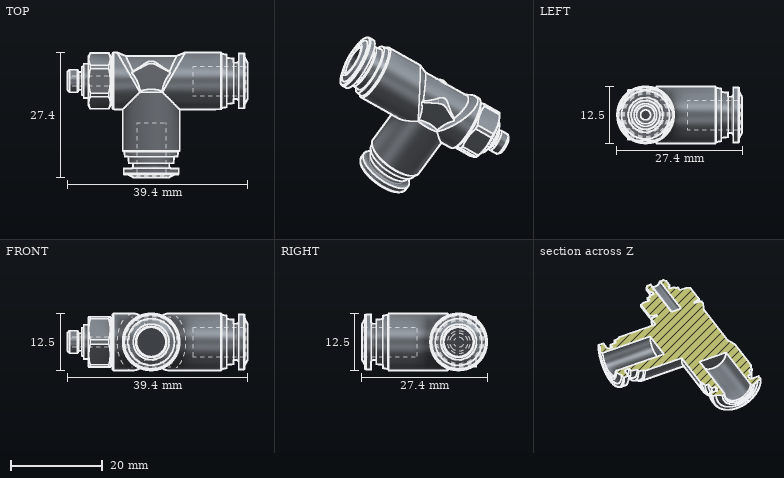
import cadquery as cq
import math


BODY_R = 6.25
PORT_REACH = 21.1
STUD_REACH = 18.3
BODY_REACH = 15.2

THREAD_R = 2.48
THREAD_LENGTH = 2.5
TIP_CHAMFER = 0.5
THREAD_NECK_R = 1.95
THREAD_NECK_LENGTH = 0.6
THREAD_RUNOUT = 0.3
SEAL_R = 3.15
SEAL_LENGTH = 0.45
SEAL_FILLET = 0.3
COLLAR_R = 3.77
COLLAR_LENGTH = 1.0
HEX_FLATS = 11.0
HEX_CORNER_R = 6.1
HEX_LENGTH = 4.95
HEX_FACE_R = 5.25
HEX_CHAMFER_LENGTH = 0.45
GAP_R = 4.65
GAP_LENGTH = 0.3
BODY_CHAMFER = 0.3
STUD_BORE_R = 1.1
STUD_BORE_DEPTH = 10.0

BODY_END_BEVEL = 0.25
RING_START_R = 5.95
RING_END_R = 5.75
RING_LENGTH = 1.35
SLEEVE_R = 5.05
SLEEVE_END_R = 4.9
SLEEVE_LENGTH = 1.45
PORT_NECK_R = 4.0
FLANGE_R = 6.03
FLANGE_LENGTH = 1.35
FLANGE_BEVEL_LENGTH = 0.25
FLANGE_BEVEL_DEPTH = 0.12
FLANGE_FILLET = 0.4
NOSE_LENGTH = 0.65
NOSE_BASE_R = 5.1
NOSE_R = 3.9
TUBE_MOUTH_R = 3.4
TUBE_R = 3.2
TUBE_LEAD_IN = 0.4
TUBE_DEPTH = 12.0

WAIST_R = 5.46
WAIST_CORNER = 2.45
RECESS_ANGLE = 60.0
WALL_FOOT_GAP = 0.5
WALL_FOOT_ANGLE = 65.5
SHOULDER_LENGTH = 0.65
PAD_HEIGHT = WAIST_R
PAD_HALF_WIDTH = 4.2
PAD_SIDE_Y = 1.84
PAD_PEAK_Y = 4.1
PAD_PEAK_RADIUS = 2.2
PAD_DRAFT = 14.0
PAD_THICKNESS = 3.0

THREAD_END = -STUD_REACH + THREAD_LENGTH
SEAL_START = THREAD_END + THREAD_NECK_LENGTH
COLLAR_START = SEAL_START + SEAL_LENGTH
HEX_START = COLLAR_START + COLLAR_LENGTH
BODY_START = HEX_START + HEX_LENGTH + GAP_LENGTH


def revolve_along_x(profile):
    """Solid of revolution about X from (x, radius) points, closed on the axis."""
    first_x = profile[0][0]
    last_x = profile[-1][0]
    points = [(first_x, 0), *profile, (last_x, 0)]
    return cq.Workplane("XY").polyline(points).close().revolve(360, (0, 0, 0), (1, 0, 0))


def cylinder_along_x(start_x, end_x, radius):
    return revolve_along_x([(start_x, radius), (end_x, radius)])


def make_port():
    """Tube port pointing along +X, from the end of the moulded body outwards."""
    ring_end = BODY_REACH + RING_LENGTH
    sleeve_end = ring_end + SLEEVE_LENGTH
    nose_start = PORT_REACH - NOSE_LENGTH
    flange_start = nose_start - FLANGE_LENGTH
    fillet_middle = FLANGE_FILLET * (1 - math.sqrt(0.5))
    outline = (
        cq.Workplane("XY")
        .moveTo(BODY_REACH, 0)
        .lineTo(BODY_REACH, BODY_R)
        .lineTo(BODY_REACH + BODY_END_BEVEL, RING_START_R)
        .lineTo(ring_end, RING_END_R)
        .lineTo(ring_end, SLEEVE_R)
        .lineTo(sleeve_end, SLEEVE_END_R)
        .lineTo(sleeve_end, PORT_NECK_R)
        .lineTo(flange_start - FLANGE_FILLET, PORT_NECK_R)
        .threePointArc(
            (flange_start - fillet_middle, PORT_NECK_R + fillet_middle),
            (flange_start, PORT_NECK_R + FLANGE_FILLET),
        )
        .lineTo(flange_start, FLANGE_R)
        .lineTo(nose_start - FLANGE_BEVEL_LENGTH, FLANGE_R)
        .lineTo(nose_start, FLANGE_R - FLANGE_BEVEL_DEPTH)
        .lineTo(nose_start, NOSE_BASE_R)
        .lineTo(PORT_REACH, NOSE_R)
        .lineTo(PORT_REACH, 0)
        .close()
    )
    return outline.revolve(360, (0, 0, 0), (1, 0, 0))


def make_tube_bore():
    """Blind tube socket with a tapered lead-in, opening at the +X port."""
    return revolve_along_x([
        (PORT_REACH - TUBE_DEPTH, TUBE_R),
        (PORT_REACH - TUBE_LEAD_IN, TUBE_R),
        (PORT_REACH, TUBE_MOUTH_R),
    ])


def turn_to_branch(solid):
    """Swing a solid from the +X port to the -Y branch."""
    return solid.rotate((0, 0, 0), (0, 0, 1), -90)


def make_hexagon():
    """Hexagon nut with both ends chamfered and the corners turned down."""
    corner_diameter = HEX_FLATS / math.cos(math.radians(30))
    prism = cq.Workplane("YZ").workplane(offset=HEX_START).polygon(6, corner_diameter).extrude(HEX_LENGTH)
    end_x = HEX_START + HEX_LENGTH
    turned = revolve_along_x([
        (HEX_START, HEX_FACE_R),
        (HEX_START + HEX_CHAMFER_LENGTH, HEX_CORNER_R),
        (end_x - HEX_CHAMFER_LENGTH, HEX_CORNER_R),
        (end_x, HEX_FACE_R),
    ])
    return prism.intersect(turned)


def make_stud():
    """Threaded stud, seal, collar, hexagon and neck on the -X side."""
    turned = revolve_along_x([
        (-STUD_REACH, THREAD_R - TIP_CHAMFER),
        (-STUD_REACH + TIP_CHAMFER, THREAD_R),
        (THREAD_END - THREAD_RUNOUT, THREAD_R),
        (THREAD_END, THREAD_NECK_R),
        (COLLAR_START, THREAD_NECK_R),
        (COLLAR_START, COLLAR_R),
        (HEX_START, COLLAR_R),
        (HEX_START, GAP_R),
        (BODY_START, GAP_R),
    ])
    seal = cylinder_along_x(SEAL_START, COLLAR_START, SEAL_R).faces("<X").edges().fillet(SEAL_FILLET)
    return turned.union(seal).union(make_hexagon())


def make_run():
    """Body cylinder along X with the waist recess cut away between its two arms."""
    run = revolve_along_x([
        (BODY_START, BODY_R - BODY_CHAMFER),
        (BODY_START + BODY_CHAMFER, BODY_R),
        (BODY_REACH, BODY_R),
    ])
    rise = BODY_R + WAIST_CORNER
    back_x = WAIST_CORNER + rise / math.tan(math.radians(RECESS_ANGLE))
    recess = (
        cq.Workplane("XY")
        .polyline([
            (-WAIST_CORNER, -WAIST_CORNER),
            (WAIST_CORNER, -WAIST_CORNER),
            (back_x, BODY_R),
            (-back_x, BODY_R),
        ])
        .close()
        .extrude(BODY_R, both=True)
    )
    return run.cut(recess)


def recess_section(corner_x, angle, radius):
    """Slanted section of an X cylinder, on the +Y side of the recess corner."""
    along_x = math.cos(math.radians(angle))
    along_y = math.sin(math.radians(angle))
    axis_x = corner_x + WAIST_CORNER * along_x / along_y
    end_angle = 180 - math.degrees(math.acos(WAIST_CORNER / radius))
    arc = cq.Edge.makeEllipse(
        radius / along_y,
        radius,
        pnt=cq.Vector(axis_x, 0, 0),
        dir=cq.Vector(along_y, -along_x, 0),
        xdir=cq.Vector(along_x, along_y, 0),
        angle1=-end_angle,
        angle2=end_angle,
    )
    chord = cq.Edge.makeLine(arc.endPoint(), arc.startPoint())
    return cq.Wire.assembleEdges([arc, chord])


def make_recess_wall():
    """Sloping wall on the +X side, from the body surface down to the waist core."""
    outer = recess_section(WAIST_CORNER, RECESS_ANGLE, BODY_R)
    inner = recess_section(WAIST_CORNER - WALL_FOOT_GAP, WALL_FOOT_ANGLE, WAIST_R)
    return cq.Workplane(cq.Solid.makeLoft([outer, inner], True))


def make_branch():
    """Branch cylinder with the short cone that meets the pads."""
    branch = revolve_along_x([
        (WAIST_CORNER - SHOULDER_LENGTH, PAD_HEIGHT),
        (WAIST_CORNER, BODY_R),
        (BODY_REACH, BODY_R),
    ])
    return turn_to_branch(branch)


def make_pad():
    """Drafted five-sided pad with a rounded peak, on the +Z side."""
    roof_angle = math.atan2(PAD_PEAK_Y - PAD_SIDE_Y, PAD_HALF_WIDTH)
    tangent_x = PAD_PEAK_RADIUS * math.sin(roof_angle)
    tangent_y = PAD_PEAK_Y - tangent_x * math.tan(roof_angle)
    crown_y = PAD_PEAK_Y - PAD_PEAK_RADIUS * (1 / math.cos(roof_angle) - 1)
    return (
        cq.Workplane("XY", origin=(0, 0, PAD_HEIGHT))
        .moveTo(-WAIST_CORNER, -WAIST_CORNER)
        .lineTo(-PAD_HALF_WIDTH, PAD_SIDE_Y)
        .lineTo(-tangent_x, tangent_y)
        .threePointArc((0, crown_y), (tangent_x, tangent_y))
        .lineTo(PAD_HALF_WIDTH, PAD_SIDE_Y)
        .lineTo(WAIST_CORNER, -WAIST_CORNER)
        .close()
        .extrude(-PAD_THICKNESS, taper=-PAD_DRAFT)
    )


def build():
    wall = make_recess_wall()
    pad = make_pad()
    port = make_port()
    tube_bore = make_tube_bore()
    stud_bore = cylinder_along_x(-STUD_REACH, -STUD_REACH + STUD_BORE_DEPTH, STUD_BORE_R)

    fitting = make_run().union(cylinder_along_x(BODY_START, BODY_REACH, WAIST_R))
    for piece in (wall, wall.mirror("YZ"), pad, pad.mirror("XY"), make_branch()):
        fitting = fitting.union(piece)
    for piece in (port, turn_to_branch(port), make_stud()):
        fitting = fitting.union(piece)
    for bore in (tube_bore, turn_to_branch(tube_bore), stud_bore):
        fitting = fitting.cut(bore)
    return fitting


result = build()